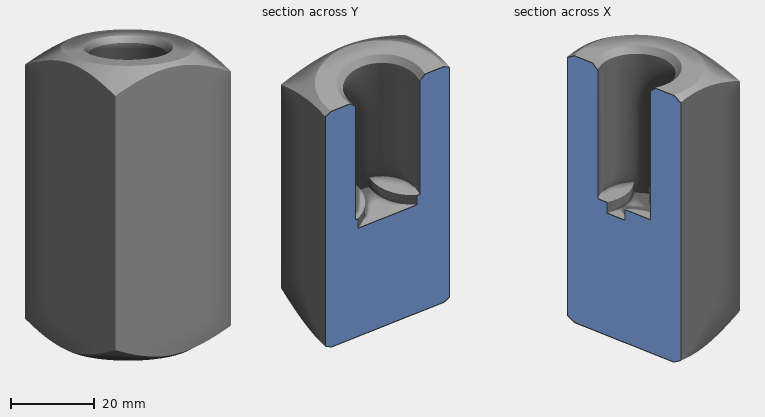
import cadquery as cq
import math

length = 73.0
body_width = 35.0

face_diameter = 32.0
cone_angle = 30.0
corner_clearance = 0.7

bore_diameter = 18.6
mouth_diameter = 21.5
bore_depth = length / 2

arm_count = 3
arm_width = 4.0
arm_fillet = 10.95
recess_depth = 2.9


def trimmed_body():
    """Square bar whose corners are turned off by a cone at each end."""
    corner_radius = body_width / math.sqrt(2) + corner_clearance
    face_radius = face_diameter / 2
    cone_drop = (corner_radius - face_radius) * math.tan(math.radians(cone_angle))
    envelope = (
        cq.Workplane("XZ")
        .polyline([
            (0, 0),
            (face_radius, 0),
            (corner_radius, cone_drop),
            (corner_radius, length - cone_drop),
            (face_radius, length),
            (0, length),
        ])
        .close()
        .revolve(360, (0, 0, 0), (0, 1, 0))
    )
    bar = cq.Workplane("XY").rect(body_width, body_width).extrude(length)
    return bar.intersect(envelope)


def countersunk_bore():
    """Blind bore from the top face with a 45 degree countersink."""
    bore_radius = bore_diameter / 2
    mouth_radius = mouth_diameter / 2
    countersink_depth = mouth_radius - bore_radius
    floor = length - bore_depth
    return (
        cq.Workplane("XZ")
        .polyline([
            (0, floor),
            (bore_radius, floor),
            (bore_radius, length - countersink_depth),
            (mouth_radius, length),
            (0, length),
        ])
        .close()
        .revolve(360, (0, 0, 0), (0, 1, 0))
    )


def three_armed_recess():
    """Star of equal arms, filleted where they meet and ending at the bore wall."""
    recess_floor = length - bore_depth - recess_depth
    plane = cq.Workplane("XY").workplane(offset=recess_floor)

    arm_length = bore_diameter
    arm = plane.center(0, arm_length / 2).rect(arm_width, arm_length).extrude(recess_depth)
    star = arm
    for index in range(1, arm_count):
        star = star.union(arm.rotate((0, 0, 0), (0, 0, 1), index * 360 / arm_count))

    inner_corners = cq.selectors.BoxSelector(
        (-arm_width, -arm_width, recess_floor),
        (arm_width, arm_width, recess_floor + recess_depth),
    )
    star = star.edges("|Z").edges(inner_corners).fillet(arm_fillet)

    bore_core = plane.circle(bore_diameter / 2).extrude(recess_depth)
    return star.intersect(bore_core)


result = trimmed_body().cut(countersunk_bore()).cut(three_armed_recess())